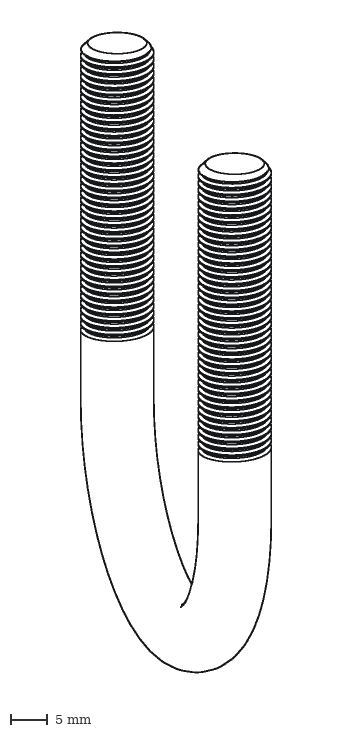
import cadquery as cq
import math

overall_height = 81.0
overall_width = 58.0
rod_diameter = 10.0

thread_length = 41.95
pitch_count = 42
thread_angle = 60
thread_start_angle = 180
end_chamfer = 1.0
cut_overshoot = 0.1

rod_radius = rod_diameter / 2
bend_radius = (overall_width - rod_diameter) / 2
leg_length = overall_height - overall_width / 2
thread_pitch = thread_length / pitch_count
crest_width = thread_pitch / 8
root_width = thread_pitch / 4
groove_width = thread_pitch - crest_width
flank_slope = math.tan(math.radians(thread_angle / 2))
groove_turns = pitch_count - 1
thread_depth = (groove_width - root_width) / 2 / flank_slope


def make_bend():
    """Half torus joining the feet of the two legs at Z = 0."""
    path = (
        cq.Workplane("XZ")
        .moveTo(-bend_radius, 0)
        .threePointArc((0, -bend_radius), (bend_radius, 0))
    )
    return cq.Workplane("XY").center(-bend_radius, 0).circle(rod_radius).sweep(path)


def groove_profile():
    """Corners (radius, height) of the V groove, carried slightly beyond the rod surface."""
    root_radius = rod_radius - thread_depth
    mouth_radius = rod_radius + cut_overshoot
    mouth_half_width = groove_width / 2 + cut_overshoot * flank_slope
    return [
        (root_radius, -root_width / 2),
        (mouth_radius, -mouth_half_width),
        (mouth_radius, mouth_half_width),
        (root_radius, root_width / 2),
    ]


def make_groove_turn():
    """Solid filling one right-handed turn of the groove, starting at Z = 0 on the +X side."""
    corners = groove_profile()
    helices = [
        cq.Wire.makeHelix(thread_pitch, thread_pitch, radius).translate(cq.Vector(0, 0, height)).Edges()[0]
        for radius, height in corners
    ]
    following_helices = helices[1:] + helices[:1]
    sides = [cq.Face.makeRuledSurface(*pair) for pair in zip(helices, following_helices)]
    outline = cq.Wire.makePolygon([cq.Vector(radius, 0, height) for radius, height in corners], close=True)
    start_cap = cq.Face.makeFromWires(outline)
    end_cap = start_cap.translate(cq.Vector(0, 0, thread_pitch))
    return cq.Solid.makeSolid(cq.Shell.makeShell(sides + [start_cap, end_cap]))


def make_thread_cutters():
    """Stack of groove turns from the start of the thread up to the last one, which ends in the chamfer."""
    first_turn = cq.Workplane(make_groove_turn()).rotate((0, 0, 0), (0, 0, 1), thread_start_angle).val()
    start_z = leg_length - thread_length + groove_width / 2
    return [
        first_turn.translate(cq.Vector(0, 0, start_z + turn * thread_pitch))
        for turn in range(groove_turns)
    ]


def make_chamfer_ring():
    """Triangular ring that bevels the free end of a leg at 45 degrees."""
    outer_radius = rod_radius + end_chamfer
    return (
        cq.Workplane("XZ")
        .polyline([
            (rod_radius - end_chamfer, leg_length),
            (outer_radius, leg_length - 2 * end_chamfer),
            (outer_radius, leg_length),
        ])
        .close()
        .revolve(360, (0, 0, 0), (0, 1, 0))
    )


def make_leg():
    """Straight rod standing on Z = 0, threaded and then chamfered at its free end."""
    rod = cq.Workplane("XY").circle(rod_radius).extrude(leg_length)
    threaded_rod = cq.Workplane(rod.val().cut(*make_thread_cutters()))
    return threaded_rod.cut(make_chamfer_ring())


leg = make_leg()
u_bolt = make_bend()
for side in (-1, 1):
    u_bolt = u_bolt.union(leg.translate((side * bend_radius, 0, 0)))

result = cq.Workplane(u_bolt.solids().val())